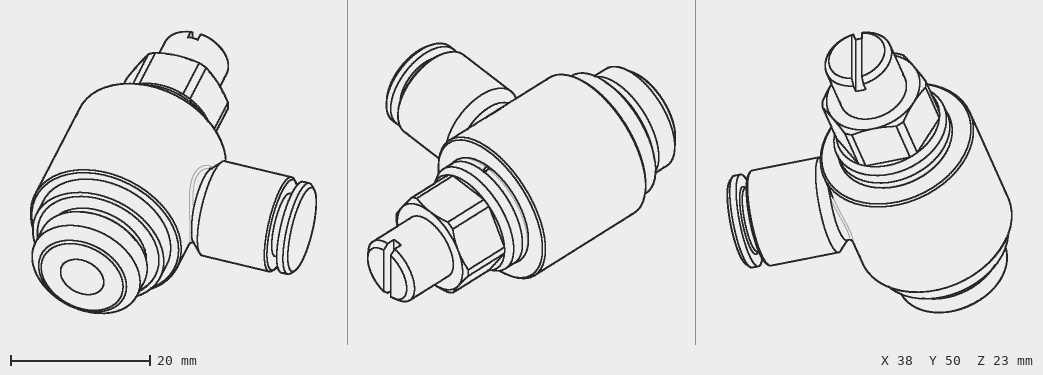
import cadquery as cq
import math


HOUSING_DIA = 23.0
HOUSING_LENGTH = 20.0
HOUSING_EDGE = 0.3
SHOULDER_LENGTH = 3.0
HOUSING_START = SHOULDER_LENGTH
HOUSING_END = HOUSING_START + HOUSING_LENGTH
SHANK_DIA = 15.8

OUTLET_Y = HOUSING_START + HOUSING_LENGTH / 2
OUTLET_DIA = 14.0
OUTLET_NECK_DIA = 11.0
OUTLET_CONE_START = HOUSING_DIA / 2
OUTLET_CONE_LENGTH = (OUTLET_DIA - OUTLET_NECK_DIA) / 2
OUTLET_END = 23.5
OUTLET_EDGE = 0.3
OUTLET_FILLET = 0.5
SLEEVE_DIA = 9.3
SLEEVE_FLANGE_DIA = 13.5
SLEEVE_FLANGE_START = 25.0
SLEEVE_END = 26.5
SLEEVE_CHAMFER = 0.55
SLEEVE_ROOT_CHAMFER = 0.3

SHOULDER_DIA = 20.0
THREAD_DIA = 16.5
THREAD_LENGTH = 7.0
UNDERCUT_DIA = 14.6
UNDERCUT_LENGTH = 1.25
TIP_CHAMFER_LENGTH = 1.5
TIP_CHAMFER_DIA = 13.4
TIP_FACE_DIA = 12.5
TIP_BEVEL_LENGTH = 0.2
PORT_DIA = 6.6
PORT_DEPTH = 10.0
SEAL_TUBE_DIA = 1.9
SEAL_CENTRE_DIA = 16.6

CLIP_TUBE_DIA = 1.2
CLIP_CENTRE_DIA = 15.9
CLIP_GAP = 0.45
CLIP_Y = HOUSING_END + CLIP_TUBE_DIA / 2
COLLAR_DIA = 16.9
COLLAR_START = 24.4
COLLAR_CONE_START = 26.1
HEX_ACROSS_FLATS = 14.0
HEX_CORNER_DIA = 15.5
HEX_START = 27.25
HEX_END = 34.7
HEX_CHAMFER_ANGLE = 30.0

STEM_DIA = 10.0
STEM_END = 43.0
STEM_CHAMFER = 0.8
SLOT_WIDTH = 1.5
SLOT_DEPTH = 2.0


def turned_about_valve_axis(profile):
    """Solid of revolution about Y from (radius, y) points; the axis side is closed."""
    points = [(0, profile[0][1])] + profile + [(0, profile[-1][1])]
    return cq.Workplane("XY").polyline(points).close().revolve(360, (0, 0), (0, 1))


def round_ring(centre_dia, tube_dia, y):
    """Torus about the valve axis, centred at height y."""
    return (
        cq.Workplane("XY")
        .center(centre_dia / 2, y)
        .circle(tube_dia / 2)
        .revolve(360, (-centre_dia / 2, 0), (-centre_dia / 2, 1))
    )


def cylinder_along_valve_axis(diameter, start, end):
    """Cylinder on the valve axis between two heights."""
    return turned_about_valve_axis([(diameter / 2, start), (diameter / 2, end)])


def make_outlet_fitting():
    """Cone, fitting body and flanged release sleeve, turned about the outlet axis."""
    cone_end = OUTLET_CONE_START + OUTLET_CONE_LENGTH
    profile = [
        (OUTLET_CONE_START, OUTLET_NECK_DIA / 2),
        (cone_end, OUTLET_DIA / 2),
        (OUTLET_END - OUTLET_EDGE, OUTLET_DIA / 2),
        (OUTLET_END, OUTLET_DIA / 2 - OUTLET_EDGE),
        (OUTLET_END, SLEEVE_DIA / 2),
        (SLEEVE_FLANGE_START - SLEEVE_ROOT_CHAMFER, SLEEVE_DIA / 2),
        (SLEEVE_FLANGE_START, SLEEVE_DIA / 2 + SLEEVE_ROOT_CHAMFER),
        (SLEEVE_FLANGE_START, SLEEVE_FLANGE_DIA / 2),
        (SLEEVE_END - SLEEVE_CHAMFER, SLEEVE_FLANGE_DIA / 2),
        (SLEEVE_END, SLEEVE_FLANGE_DIA / 2 - SLEEVE_CHAMFER),
    ]
    points = [(OUTLET_CONE_START, 0)] + profile + [(SLEEVE_END, 0)]
    fitting = cq.Workplane("XY").polyline(points).close().revolve(360, (0, 0), (1, 0))
    return fitting.translate((0, OUTLET_Y, 0))


def make_housing():
    """Banjo housing: bored barrel with a filleted side neck that carries the outlet fitting."""
    barrel = cylinder_along_valve_axis(HOUSING_DIA, HOUSING_START, HOUSING_END)
    barrel = barrel.faces("<Y or >Y").chamfer(HOUSING_EDGE)
    neck = (
        cq.Workplane("YZ")
        .center(OUTLET_Y, 0)
        .circle(OUTLET_NECK_DIA / 2)
        .extrude(OUTLET_CONE_START + OUTLET_CONE_LENGTH)
    )
    joined = barrel.union(neck).edges("%BSPLINE").fillet(OUTLET_FILLET)
    bore = cylinder_along_valve_axis(SHANK_DIA, HOUSING_START, HOUSING_END)
    return joined.union(make_outlet_fitting()).cut(bore)


def make_hex_head():
    """Hexagon with turned-down corners and a chamfered top."""
    corner_to_corner = HEX_ACROSS_FLATS / math.cos(math.pi / 6)
    hexagon = (
        cq.Workplane("XZ", origin=(0, HEX_START, 0))
        .polygon(6, corner_to_corner)
        .extrude(HEX_START - HEX_END)
    )
    chamfer_width = (HEX_CORNER_DIA - HEX_ACROSS_FLATS) / 2
    chamfer_height = chamfer_width * math.tan(math.radians(HEX_CHAMFER_ANGLE))
    envelope = turned_about_valve_axis([
        (HEX_CORNER_DIA / 2, HEX_START),
        (HEX_CORNER_DIA / 2, HEX_END - chamfer_height),
        (HEX_ACROSS_FLATS / 2, HEX_END),
    ])
    return hexagon.intersect(envelope)


def make_bolt_core():
    """Turned part of the bolt, from the threaded tip to the collar under the hexagon."""
    return turned_about_valve_axis([
        (TIP_FACE_DIA / 2, -THREAD_LENGTH),
        (TIP_CHAMFER_DIA / 2, -THREAD_LENGTH + TIP_BEVEL_LENGTH),
        (THREAD_DIA / 2, -THREAD_LENGTH + TIP_BEVEL_LENGTH + TIP_CHAMFER_LENGTH),
        (THREAD_DIA / 2, -UNDERCUT_LENGTH - (THREAD_DIA - UNDERCUT_DIA) / 2),
        (UNDERCUT_DIA / 2, -UNDERCUT_LENGTH),
        (UNDERCUT_DIA / 2, 0),
        (SHOULDER_DIA / 2, 0),
        (SHOULDER_DIA / 2, SHOULDER_LENGTH),
        (SHANK_DIA / 2, SHOULDER_LENGTH),
        (SHANK_DIA / 2, COLLAR_START),
        (COLLAR_DIA / 2, COLLAR_START),
        (COLLAR_DIA / 2, COLLAR_CONE_START),
        (HEX_CORNER_DIA / 2, HEX_START),
    ])


def make_stem():
    """Round adjusting stem with a chamfered end and a screwdriver slot along Z."""
    stem = cylinder_along_valve_axis(STEM_DIA, HEX_END, STEM_END).faces(">Y").chamfer(STEM_CHAMFER)
    slot = cq.Workplane("XY").box(SLOT_WIDTH, 2 * SLOT_DEPTH, STEM_DIA)
    return stem.cut(slot.translate((0, STEM_END, 0)))


def make_clip():
    """Retaining ring against the housing, split by a narrow gap at the top (+Z)."""
    gap = cq.Workplane("XY").box(CLIP_GAP, 2 * CLIP_TUBE_DIA, CLIP_CENTRE_DIA, centered=(True, True, False))
    return round_ring(CLIP_CENTRE_DIA, CLIP_TUBE_DIA, CLIP_Y).cut(gap.translate((0, CLIP_Y, 0)))


def make_bolt():
    """Banjo bolt with its seal ring, retaining ring, hexagon, adjusting stem and inlet port."""
    bolt = make_bolt_core().union(make_hex_head()).union(make_stem())
    bolt = bolt.union(round_ring(SEAL_CENTRE_DIA, SEAL_TUBE_DIA, 0))
    bolt = bolt.union(make_clip())
    port = cylinder_along_valve_axis(PORT_DIA, -THREAD_LENGTH, PORT_DEPTH - THREAD_LENGTH)
    return bolt.cut(port)


housing = make_housing()
bolt = make_bolt()
result = cq.Compound.makeCompound([housing.val(), bolt.val()])